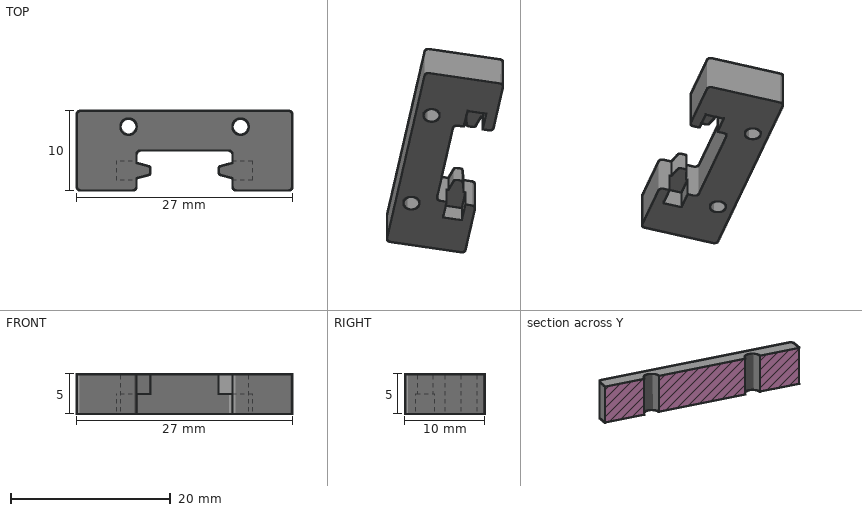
import cadquery as cq
import math

length = 27.0
depth = 10.0
height = 5.0
corner_radius = 0.5

slot_width = 12.0
slot_depth = depth / 2

hole_diameter = 2.0
hole_spacing = 14.0
hole_edge_distance = 2.0

tooth_length = 1.73
tooth_base_width = 1.95
tooth_flank_angle = 15.0
tooth_tip_radius = 0.35
tooth_height = height / 2

pocket_width = 2.38
pocket_depth = 2.5
pocket_height = height - tooth_height

front_y = -depth / 2
slot_half = slot_width / 2
tooth_center_y = front_y + slot_depth / 2


def make_body():
    """U-shaped block with every vertical edge rounded."""
    block = cq.Workplane("XY").box(length, depth, height, centered=(True, True, False))
    slot = (
        cq.Workplane("XY")
        .box(slot_width, slot_depth, height, centered=(True, False, False))
        .translate((0, front_y, 0))
    )
    return block.cut(slot).edges("|Z").fillet(corner_radius)


def make_tooth(side):
    """Tooth pointing to the middle of the slot; side is -1 or +1 along X."""
    base_half = tooth_base_width / 2
    tip_half = base_half - tooth_length * math.tan(math.radians(tooth_flank_angle))
    base_x = side * slot_half
    tip_x = side * (slot_half - tooth_length)
    tooth = (
        cq.Workplane("XY", origin=(0, 0, height - tooth_height))
        .moveTo(base_x, tooth_center_y - base_half)
        .lineTo(tip_x, tooth_center_y - tip_half)
        .lineTo(tip_x, tooth_center_y + tip_half)
        .lineTo(base_x, tooth_center_y + base_half)
        .close()
        .extrude(tooth_height)
    )
    tip_edges = "|Z and >X" if side < 0 else "|Z and <X"
    return tooth.edges(tip_edges).fillet(tooth_tip_radius)


def make_pocket(side):
    """Rectangular recess cut into one slot wall below its tooth."""
    center_x = side * (slot_half + pocket_depth / 2)
    return (
        cq.Workplane("XY")
        .box(pocket_depth, pocket_width, pocket_height, centered=(True, True, False))
        .translate((center_x, tooth_center_y, 0))
    )


result = make_body()
for side in (-1, 1):
    result = result.cut(make_pocket(side))
    result = result.union(make_tooth(side))

hole_y = depth / 2 - hole_edge_distance
holes = (
    cq.Workplane("XY")
    .pushPoints([(-hole_spacing / 2, hole_y), (hole_spacing / 2, hole_y)])
    .circle(hole_diameter / 2)
    .extrude(height)
)
result = result.cut(holes)